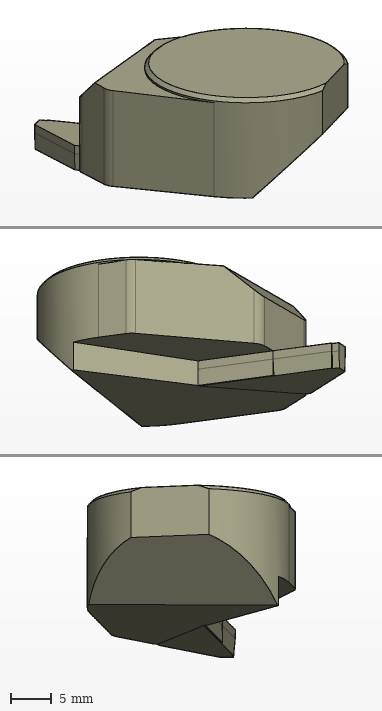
import cadquery as cq
import math


disc_radius = 12.5
disc_chamfer = 0.5
shoulder_drop = 0.73
flat_x = 11.5
back_chamfer_x = 3.85
back_chamfer_z = -13.9
nose_rear_x = -4.3
nose_upper_corner = (-17.72, 3.2)
nose_lower_corner = (-19.2, -7.95)
nose_front_x = -13.8
nose_fillet = 2.0
nose_bevel = 3.5
blank_depth = 17.25
margin = 3.85

slope_x = 0.018
slope_y = -0.035
insert_thickness = 3.22
land_thickness = 1.07
relief_inset = 0.1
tip_x = -26.85
tip_rear_y = 0.15
tip_front_y = -1.75
tip_step_x = -25.95
insert_rear_y = 0.4
heel_x = -19.6
heel_y = -7.9
heel_length = 0.7
insert_end_x = -8.05
total_height = 14.0

notch_roof_z = -10.63

tilt_length = math.sqrt(1 + slope_x**2 + slope_y**2)
insert_drop = insert_thickness * tilt_length
insert_top_z = insert_drop - total_height


def tilted_plane(z):
    """Inclined plane through the rear corner of the insert tip at height z."""
    return cq.Plane(
        origin=(tip_x, tip_rear_y, z),
        xDir=(1, 0, slope_x),
        normal=(-slope_x, -slope_y, 1),
    )


def insert_outline(inset):
    """Insert corners measured from the tip, with both long sides moved in by inset."""
    corners = [
        (tip_x, tip_rear_y - inset),
        (tip_x, tip_front_y + inset),
        (heel_x, heel_y + inset),
        (heel_x + heel_length, heel_y + inset),
        (insert_end_x, insert_rear_y - inset),
        (tip_step_x, insert_rear_y - inset),
        (tip_step_x, tip_rear_y - inset),
    ]
    return [(x - tip_x, y - tip_rear_y) for x, y in corners]


def make_insert():
    """Pointed cutting insert: straight land on top, leaning relief below."""
    top_outline = insert_outline(0)
    bottom_outline = insert_outline(relief_inset)
    land = (
        cq.Workplane(tilted_plane(insert_top_z))
        .polyline(top_outline)
        .close()
        .extrude(-land_thickness)
    )
    relief = (
        cq.Workplane(tilted_plane(insert_top_z))
        .workplane(offset=-land_thickness)
        .polyline(top_outline)
        .close()
        .workplane(offset=land_thickness - insert_thickness)
        .polyline(bottom_outline)
        .close()
        .loft(ruled=True)
    )
    return land.union(relief)


def make_nose():
    """Tapered nose with rounded corners and a 45 degree bevel on its front face."""
    nose = (
        cq.Workplane("XY", origin=(0, 0, -shoulder_drop))
        .moveTo(0, disc_radius)
        .lineTo(nose_rear_x, disc_radius)
        .lineTo(*nose_upper_corner)
        .lineTo(*nose_lower_corner)
        .lineTo(nose_front_x, -disc_radius)
        .lineTo(0, -disc_radius)
        .close()
        .extrude(-blank_depth)
    )
    for x, y in [
        (nose_rear_x, disc_radius),
        nose_upper_corner,
        nose_lower_corner,
        (nose_front_x, -disc_radius),
    ]:
        corner = cq.selectors.NearestToPointSelector((x, y, -shoulder_drop - blank_depth / 2))
        nose = nose.edges("|Z").edges(corner).fillet(nose_fillet)
    return nose.cut(make_bevel_cutter())


def make_bevel_cutter():
    """Triangular bar lying along the top of the nose front face."""
    dx = nose_upper_corner[0] - nose_lower_corner[0]
    dy = nose_upper_corner[1] - nose_lower_corner[1]
    face_length = math.hypot(dx, dy)
    inward = (dy / face_length, -dx / face_length, 0)
    profile = cq.Plane(
        origin=(*nose_lower_corner, -shoulder_drop),
        xDir=inward,
        normal=(-dx / face_length, -dy / face_length, 0),
    )
    reach = nose_bevel + margin
    return (
        cq.Workplane(profile)
        .polyline([(nose_bevel, 0), (-margin, 0), (-margin, -reach)])
        .close()
        .extrude(2 * face_length, both=True)
    )


def make_bottom_cutter():
    """Everything below the tilted plane of the insert underside."""
    size = 4 * disc_radius
    plane = tilted_plane(insert_top_z - insert_drop)
    return cq.Workplane(plane).rect(2 * size, 2 * size).extrude(-blank_depth)


def make_back_cutter():
    """Everything beyond the +X flat and the 45 degree back chamfer."""
    far_x = flat_x + 2 * margin
    flat_end_z = back_chamfer_z + flat_x - back_chamfer_x
    low_x = back_chamfer_x - 2 * margin
    return (
        cq.Workplane("XZ")
        .polyline([
            (flat_x, margin),
            (flat_x, flat_end_z),
            (low_x, back_chamfer_z + low_x - back_chamfer_x),
            (far_x, back_chamfer_z + low_x - back_chamfer_x),
            (far_x, margin),
        ])
        .close()
        .extrude(2 * disc_radius, both=True)
    )


def make_notch_cutter():
    """Notch behind the insert with a sloping roof and a 45 degree inner wall."""
    start_x = nose_lower_corner[0] - margin
    rear_y = disc_radius + margin
    wall_end_x = insert_end_x + rear_y - insert_rear_y
    walls = (
        cq.Workplane("XY", origin=(0, 0, -2 * blank_depth))
        .polyline([
            (start_x, insert_rear_y),
            (insert_end_x, insert_rear_y),
            (wall_end_x, rear_y),
            (start_x, rear_y),
        ])
        .close()
        .extrude(2 * blank_depth)
    )

    def roof_z(x):
        return notch_roof_z + slope_x * (x - nose_upper_corner[0])

    below_roof = (
        cq.Workplane("XZ")
        .polyline([
            (start_x, roof_z(start_x)),
            (wall_end_x, roof_z(wall_end_x)),
            (wall_end_x, -blank_depth),
            (start_x, -blank_depth),
        ])
        .close()
        .extrude(2 * disc_radius, both=True)
    )
    return walls.intersect(below_roof)


def make_housing(insert):
    disc = (
        cq.Workplane("XY")
        .circle(disc_radius)
        .extrude(-shoulder_drop - blank_depth)
        .faces(">Z")
        .chamfer(disc_chamfer)
    )
    housing = disc.union(make_nose())
    housing = housing.cut(make_bottom_cutter())
    housing = housing.cut(make_back_cutter())
    housing = housing.cut(make_notch_cutter())
    return housing.cut(insert)


insert = make_insert()
housing = make_housing(insert)
result = cq.Compound.makeCompound([*housing.solids().vals(), *insert.solids().vals()])